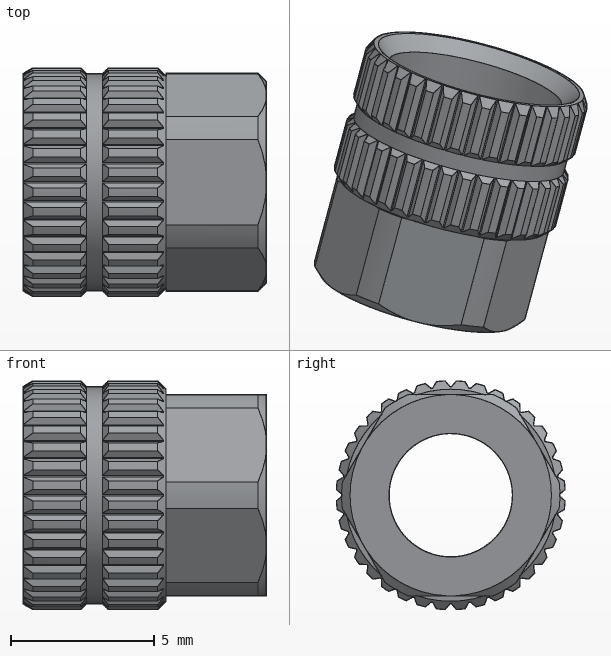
import cadquery as cq
import math


total_length = 8.5
base_diameter = 7.59
base_radius = base_diameter / 2
shoulder_x = 5.0

tooth_count = 36
crest_diameter = 8.0
crest_radius = crest_diameter / 2
tooth_height = crest_radius - base_radius
tooth_crest_width = 0.3
tooth_root_width = 0.595
band_length = 2.22
shoulder_band_x = shoulder_x - band_length
entry_bevel_length = 0.34
shoulder_chamfer = 0.3

hex_across_flats = 7.02
hex_corner_diameter = 7.625
hex_end_chamfer = 0.3

mouth_diameter = 7.26
bore_diameter = 6.25
through_diameter = 4.3
mouth_depth = (mouth_diameter - bore_diameter) / 2
bore_depth = 5.95
floor_half_angle = 59.0
bore_fillet = 0.315


def revolve_about_x(points):
    """Solid of revolution about the X axis from (x, radius) points."""
    return cq.Workplane("XY").polyline(points).close().revolve(360, (0, 0, 0), (1, 0, 0))


def cylinder_along_x(start, end, radius):
    """Cylinder about the X axis between two X positions."""
    return cq.Workplane("YZ", origin=(start, 0, 0)).circle(radius).extrude(end - start)


def make_knurl_teeth(start, end):
    """Cylinder carrying straight trapezoidal teeth, with a gap centred on the Y and Z axes."""
    flank_slope = (tooth_root_width - tooth_crest_width) / 2 / tooth_height
    inner_radius = base_radius - tooth_height / 2
    outer_radius = crest_radius + tooth_height / 2
    inner_half = tooth_crest_width / 2 + flank_slope * (crest_radius - inner_radius)
    outer_half = tooth_crest_width / 2 - flank_slope * (outer_radius - crest_radius)
    tooth = (
        cq.Workplane("YZ", origin=(start, 0, 0))
        .polyline([
            (inner_radius, -inner_half),
            (outer_radius, -outer_half),
            (outer_radius, outer_half),
            (inner_radius, inner_half),
        ])
        .close()
        .extrude(end - start)
    )
    pitch_angle = 360 / tooth_count
    teeth = cylinder_along_x(start, end, base_radius)
    for index in range(tooth_count):
        teeth = teeth.union(tooth.rotate((0, 0, 0), (1, 0, 0), (index + 0.5) * pitch_angle))
    return teeth


def make_entry_band():
    """First knurled band, with a long bevel at the mouth and a 45 degree one at the groove."""
    envelope = revolve_about_x([
        (0, 0),
        (0, base_radius),
        (entry_bevel_length, crest_radius),
        (band_length - tooth_height, crest_radius),
        (band_length, base_radius),
        (band_length, 0),
    ])
    return make_knurl_teeth(0, band_length).intersect(envelope)


def make_shoulder_band():
    """Second knurled band, chamfered below the tooth roots where it meets the hexagon."""
    start = shoulder_band_x
    envelope = revolve_about_x([
        (start, 0),
        (start, base_radius),
        (start + tooth_height, crest_radius),
        (shoulder_x - shoulder_chamfer, crest_radius),
        (shoulder_x, crest_radius - shoulder_chamfer),
        (shoulder_x, 0),
    ])
    return make_knurl_teeth(start, shoulder_x).intersect(envelope)


def make_groove_core():
    """Plain cylinder left between the two knurled bands."""
    return cylinder_along_x(band_length, shoulder_band_x, base_radius)


def make_hex_end():
    """Hexagon with flats facing +Z and -Z, its corners rounded and its end chamfered."""
    length = total_length - shoulder_x
    across_corners = hex_across_flats / math.cos(math.radians(30))
    hexagon = (
        cq.Workplane("YZ", origin=(shoulder_x, 0, 0))
        .polygon(6, across_corners)
        .extrude(length)
    )
    envelope = cylinder_along_x(shoulder_x, total_length, hex_corner_diameter / 2)
    envelope = envelope.faces(">X").chamfer(hex_end_chamfer)
    return hexagon.intersect(envelope)


def make_bore():
    """Tapered mouth, plain bore and conical floor rounded into the through hole."""
    bore_radius = bore_diameter / 2
    through_radius = through_diameter / 2
    floor_length = (bore_radius - through_radius) / math.tan(math.radians(floor_half_angle))
    bore = revolve_about_x([
        (0, 0),
        (0, mouth_diameter / 2),
        (mouth_depth, bore_radius),
        (bore_depth, bore_radius),
        (bore_depth + floor_length, through_radius),
        (total_length, through_radius),
        (total_length, 0),
    ])
    rims = sorted(bore.edges("%CIRCLE").vals(), key=lambda rim: rim.Center().x)
    floor_rims = rims[2:4]
    return bore.newObject(floor_rims).fillet(bore_fillet)


body = (
    make_entry_band()
    .union(make_groove_core())
    .union(make_shoulder_band())
    .union(make_hex_end())
)
result = body.cut(make_bore())